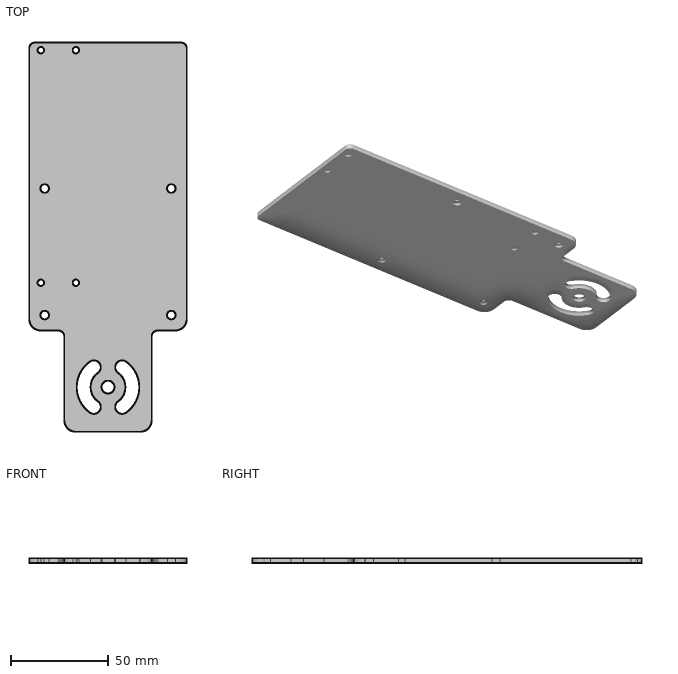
import cadquery as cq
import math

thickness = 2.6
total_length = 200.0
body_width = 81.0
tab_width = 45.0
tab_length = 52.0
body_back_radius = 3.0
body_front_radius = 6.0
tab_front_radius = 6.0
tab_root_radius = 3.0

back_y = total_length / 2
front_y = -total_length / 2
shoulder_y = front_y + tab_length

square_hole_diameter = 4.3
square_hole_pitch = 65.0
square_hole_edge_distance = 8.0

small_hole_diameter = 3.2
small_hole_pitch_x = 18.0
small_hole_pitch_y = 119.4
small_hole_side_distance = 6.0
small_hole_back_distance = 4.0

pivot_diameter = 6.5
pivot_front_distance = 23.0
pivot_y = front_y + pivot_front_distance
slot_radius = 12.5
slot_width = 7.0
slot_half_angle = 54.5


def make_plate():
    """Body and tab as one plate with rounded corners."""
    body_length = back_y - shoulder_y
    body = (
        cq.Workplane("XY")
        .center(0, (back_y + shoulder_y) / 2)
        .rect(body_width, body_length)
        .extrude(thickness)
    )
    body = body.edges("|Z and >Y").fillet(body_back_radius)
    body = body.edges("|Z and <Y").fillet(body_front_radius)
    tab = (
        cq.Workplane("XY")
        .center(0, shoulder_y - tab_length / 2)
        .rect(tab_width, tab_length)
        .extrude(thickness)
    )
    tab = tab.edges("|Z and <Y").fillet(tab_front_radius)
    plate = body.union(tab)
    for side in (-1, 1):
        root_corner = (side * tab_width / 2, shoulder_y, thickness / 2)
        plate = plate.edges(cq.selectors.NearestToPointSelector(root_corner)).fillet(tab_root_radius)
    return plate


def round_holes(points, diameter):
    """Cylinders through the full plate thickness."""
    return cq.Workplane("XY").pushPoints(points).circle(diameter / 2).extrude(thickness)


def curved_slot(side):
    """Round-ended slot along an arc about the pivot; side is +1 for +X and -1 for -X."""
    half_angle = math.radians(slot_half_angle)
    end_x = side * slot_radius * math.cos(half_angle)
    end_rise = slot_radius * math.sin(half_angle)
    out_x = end_x / slot_radius
    out_y = end_rise / slot_radius
    half_width = slot_width / 2
    inner = slot_radius - half_width
    outer = slot_radius + half_width
    tip_x = end_x - side * half_width * math.sin(half_angle)
    tip_y = end_rise + half_width * math.cos(half_angle)
    return (
        cq.Workplane("XY")
        .center(0, pivot_y)
        .moveTo(outer * out_x, -outer * out_y)
        .threePointArc((side * outer, 0), (outer * out_x, outer * out_y))
        .threePointArc((tip_x, tip_y), (inner * out_x, inner * out_y))
        .threePointArc((side * inner, 0), (inner * out_x, -inner * out_y))
        .threePointArc((tip_x, -tip_y), (outer * out_x, -outer * out_y))
        .close()
        .extrude(thickness)
    )


def rectangle_points(left_x, low_y, pitch_x, pitch_y):
    """Corners of a rectangle given by its (-X, -Y) corner and its sides."""
    return [(x, y) for x in (left_x, left_x + pitch_x) for y in (low_y, low_y + pitch_y)]


square_hole_points = rectangle_points(
    -square_hole_pitch / 2,
    shoulder_y + square_hole_edge_distance,
    square_hole_pitch,
    square_hole_pitch,
)
small_hole_points = rectangle_points(
    -body_width / 2 + small_hole_side_distance,
    back_y - small_hole_back_distance - small_hole_pitch_y,
    small_hole_pitch_x,
    small_hole_pitch_y,
)

result = make_plate()
result = result.cut(round_holes(square_hole_points, square_hole_diameter))
result = result.cut(round_holes(small_hole_points, small_hole_diameter))
result = result.cut(round_holes([(0, pivot_y)], pivot_diameter))
for slot_side in (-1, 1):
    result = result.cut(curved_slot(slot_side))